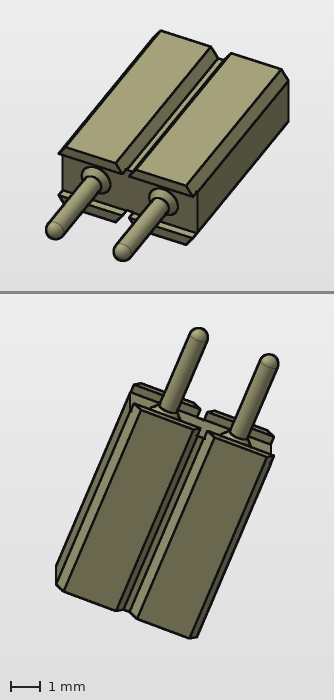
import cadquery as cq

pitch = 2.54
width = 2 * pitch
height = pitch
back_y = 5.0
housing_length = 7.0
front_y = back_y - housing_length

bevel_height = 0.4
bevel_width = 0.27
rail_gap = 0.22
core_height = height - 2 * bevel_height
recess_depth = 0.3
recess_height = core_height + 0.04

pin_radius = 0.32
pin_tip_y = -5.0
collar_radius = 0.54
collar_length = 0.24
recess_y = front_y + recess_depth


def extrude_back(profile, start_y, length):
    """Extrude an XZ profile from start_y towards +Y."""
    return profile.extrude(-length).translate((0, start_y, 0))


def make_rail(side_x, side_z):
    """Trapezoidal rail on one position, above or below the core."""
    outer_x = side_x * width / 2
    inner_x = side_x * rail_gap / 2
    base_z = side_z * core_height / 2
    crest_z = side_z * height / 2
    profile = cq.Workplane("XZ").polyline([
        (outer_x, base_z),
        (outer_x - side_x * bevel_width, crest_z),
        (inner_x + side_x * bevel_width, crest_z),
        (inner_x, base_z),
    ]).close()
    return extrude_back(profile, front_y, housing_length)


def make_pin(center_x):
    """Pin with a hemispherical tip and a conical collar at the housing."""
    shoulder_y = pin_tip_y + pin_radius
    collar_front_y = recess_y - collar_length
    arc_offset = pin_radius * 0.5 ** 0.5
    profile = (
        cq.Workplane("XY")
        .moveTo(0, pin_tip_y)
        .threePointArc((arc_offset, shoulder_y - arc_offset), (pin_radius, shoulder_y))
        .lineTo(pin_radius, collar_front_y)
        .lineTo(collar_radius, recess_y)
        .lineTo(0, recess_y)
        .close()
    )
    return profile.revolve(360, (0, 0, 0), (0, 1, 0)).translate((center_x, 0, 0))


core = extrude_back(cq.Workplane("XZ").rect(width, core_height), front_y, housing_length)
result = core
for side_x in (-1, 1):
    for side_z in (-1, 1):
        result = result.union(make_rail(side_x, side_z))

recess = extrude_back(cq.Workplane("XZ").rect(width, recess_height), front_y, recess_depth)
result = result.cut(recess)

for side_x in (-1, 1):
    result = result.union(make_pin(side_x * pitch / 2))